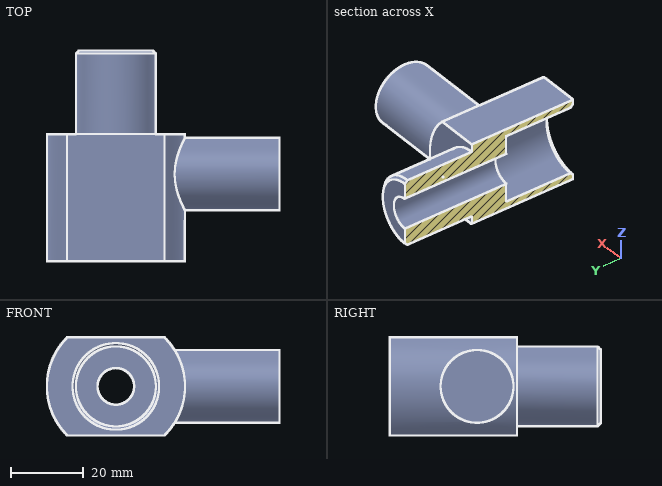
import cadquery as cq

body_diameter = 38.0
body_height = 27.0
body_length = 35.0

spigot_diameter = 22.0
spigot_length = 23.0
spigot_chamfer = 0.9

stub_diameter = 20.0
stub_reach = 45.0
stub_from_front = 24.0

socket_diameter = 22.0
socket_mouth_chamfer = 0.9
socket_depth = spigot_length
through_hole_diameter = 10.0

total_length = body_length + spigot_length


def cylinder_along_y(diameter, length, start=0.0):
    """Cylinder on the body axis, running from Y = start towards +Y."""
    return cq.Workplane("XZ", origin=(0, start, 0)).circle(diameter / 2).extrude(-length)


def make_body():
    flats = cq.Workplane("XY").box(
        body_diameter, body_length, body_height, centered=(True, False, True)
    )
    return cylinder_along_y(body_diameter, body_length).intersect(flats)


def make_spigot():
    spigot = cylinder_along_y(spigot_diameter, spigot_length, start=body_length)
    return spigot.faces(">Y").chamfer(spigot_chamfer)


def make_stub():
    axis_start = (0, stub_from_front, 0)
    return cq.Workplane("YZ", origin=axis_start).circle(stub_diameter / 2).extrude(stub_reach)


def make_bore():
    socket = cylinder_along_y(socket_diameter, socket_depth)
    mouth_radius = socket_diameter / 2 + socket_mouth_chamfer
    mouth = cq.Workplane(
        cq.Solid.makeCone(
            mouth_radius,
            socket_diameter / 2,
            socket_mouth_chamfer,
            pnt=cq.Vector(0, 0, 0),
            dir=cq.Vector(0, 1, 0),
        )
    )
    through_hole = cylinder_along_y(through_hole_diameter, total_length)
    return socket.union(mouth).union(through_hole)


result = make_body().union(make_spigot()).union(make_stub()).cut(make_bore())